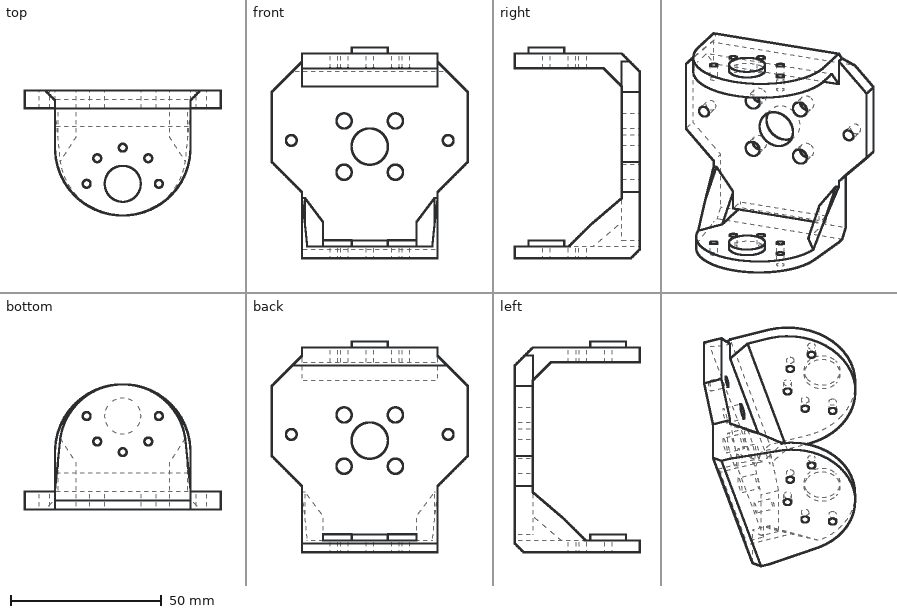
import cadquery as cq
import math


total_width = 65.0
total_depth = 41.6
total_height = 70.0

plate_thickness = 6.0
neck_width = 45.0
shoulder_size = (total_width - neck_width) / 2
lower_shoulder_z = 22.0
upper_shoulder_z = 65.25
top_back_chamfer = plate_thickness
bottom_back_chamfer = 3.0

bore_diameter = 12.0
bore_z = 37.1
bolt_hole_diameter = 5.0
bolt_hole_pitch = 17.0
side_hole_diameter = 3.5
side_hole_pitch = 52.0
side_hole_z = 39.1

lug_reach = total_depth - plate_thickness
upper_lug_thickness = 5.0
upper_lug_straight_length = 13.7
lower_lug_thickness = 4.0
lower_lug_corner_width = 41.45
lower_lug_corner_reach = 17.65
boss_diameter = 12.0
boss_height = 2.0
boss_reach = 25.0
upper_lug_top = total_height - boss_height
upper_lug_bottom = upper_lug_top - upper_lug_thickness

ring_radius = 12.0
ring_hole_diameter = 2.5
ring_hole_count = 5

wedge_size = 6.0

rib_height = 20.0
rib_reach = 18.75
rib_inner_x = 15.5
rib_bevel_width = 6.0
rib_bevel_drop = 8.0

slot_height = 2.0

half_width = total_width / 2
half_neck = neck_width / 2


def make_plate():
    """Plate with a narrow neck above and below two sloped-shoulder wings."""
    wing_bottom = lower_shoulder_z + shoulder_size
    wing_top = upper_shoulder_z - shoulder_size
    right_side = [
        (half_neck, 0),
        (half_neck, lower_shoulder_z),
        (half_width, wing_bottom),
        (half_width, wing_top),
        (half_neck, upper_shoulder_z),
        (half_neck, upper_lug_top),
    ]
    left_side = [(-x, z) for x, z in reversed(right_side)]
    outline = cq.Workplane("XZ").polyline(right_side + left_side).close()
    return outline.extrude(-plate_thickness)


def back_edge_cutter(edge_z, size, inward):
    """Triangular bar that bevels a back edge of the plate over its full width."""
    back = plate_thickness
    triangle = [(back, edge_z), (back - size, edge_z), (back, edge_z + inward * size)]
    return cq.Workplane("YZ").polyline(triangle).close().extrude(half_width, both=True)


def make_upper_lug():
    """Parallel-sided lug as wide as the neck, with a round end."""
    return (
        cq.Workplane("XY", origin=(0, 0, upper_lug_bottom))
        .moveTo(half_neck, 0)
        .lineTo(half_neck, -upper_lug_straight_length)
        .threePointArc((0, -lug_reach), (-half_neck, -upper_lug_straight_length))
        .lineTo(-half_neck, 0)
        .close()
        .extrude(upper_lug_thickness)
    )


def make_wedge():
    """Bevelled fill in the corner between the plate and the upper lug."""
    triangle = [
        (0, upper_lug_bottom),
        (-wedge_size, upper_lug_bottom),
        (0, upper_lug_bottom - wedge_size),
    ]
    return cq.Workplane("YZ").polyline(triangle).close().extrude(half_neck, both=True)


def tapered_lug(height):
    """Lower lug outline, with converging sides and a round end, raised to a height."""
    corner_x = lower_lug_corner_width / 2
    return (
        cq.Workplane("XY")
        .moveTo(half_neck, 0)
        .lineTo(corner_x, -lower_lug_corner_reach)
        .threePointArc((0, -lug_reach), (-corner_x, -lower_lug_corner_reach))
        .lineTo(-half_neck, 0)
        .close()
        .extrude(height)
    )


def make_rib(side):
    """Rib that slopes from the plate down to the lug, with its inner top edge bevelled."""
    section = [
        (rib_inner_x, 0),
        (rib_inner_x, rib_height - rib_bevel_drop),
        (rib_inner_x + rib_bevel_width, rib_height),
        (half_neck, rib_height),
        (half_neck, 0),
    ]
    points = [cq.Vector(side * x, 0, z) for x, z in section]
    face = cq.Face.makeFromWires(cq.Wire.makePolygon(points, close=True))
    slope = cq.Vector(0, -rib_reach, lower_lug_thickness - rib_height)
    sloped_bar = cq.Workplane(cq.Solid.extrudeLinear(face, slope))
    return sloped_bar.intersect(tapered_lug(rib_height))


def make_boss(base_z):
    """Round boss standing on a lug."""
    boss = cq.Workplane("XY", origin=(0, -boss_reach, base_z)).circle(boss_diameter / 2)
    return boss.extrude(boss_height)


def plate_holes(diameter, centres):
    """Round cutters through the plate at the given (x, z) centres."""
    holes = cq.Workplane("XZ").pushPoints(centres).circle(diameter / 2)
    return holes.extrude(-plate_thickness)


def ring_holes():
    """Round cutters through both lugs, on the half ring facing the plate."""
    step = math.pi / (ring_hole_count - 1)
    centres = [
        (ring_radius * math.cos(i * step), ring_radius * math.sin(i * step))
        for i in range(ring_hole_count)
    ]
    holes = cq.Workplane("XY", origin=(0, -boss_reach, 0)).pushPoints(centres)
    return holes.circle(ring_hole_diameter / 2).extrude(upper_lug_top)


def make_slot():
    """Low rectangular cutter through the plate, spanning between the ribs."""
    return cq.Workplane("XY", origin=(0, 0, lower_lug_thickness)).box(
        2 * rib_inner_x, plate_thickness, slot_height, centered=(True, False, False)
    )


half_bolt_pitch = bolt_hole_pitch / 2
bolt_centres = [
    (x, bore_z + dz)
    for x in (-half_bolt_pitch, half_bolt_pitch)
    for dz in (-half_bolt_pitch, half_bolt_pitch)
]
side_centres = [(side * side_hole_pitch / 2, side_hole_z) for side in (-1, 1)]

result = make_plate()
result = result.cut(back_edge_cutter(upper_lug_top, top_back_chamfer, -1))
result = result.cut(back_edge_cutter(0, bottom_back_chamfer, 1))

result = result.union(make_upper_lug())
result = result.union(make_wedge())
result = result.union(tapered_lug(lower_lug_thickness))
for side in (-1, 1):
    result = result.union(make_rib(side))
for base_z in (lower_lug_thickness, upper_lug_top):
    result = result.union(make_boss(base_z))

result = result.cut(plate_holes(bore_diameter, [(0, bore_z)]))
result = result.cut(plate_holes(bolt_hole_diameter, bolt_centres))
result = result.cut(plate_holes(side_hole_diameter, side_centres))
result = result.cut(ring_holes())
result = result.cut(make_slot())